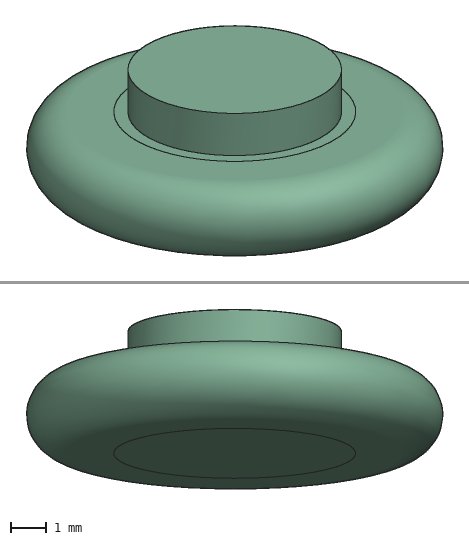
import cadquery as cq

rim_diameter = 11.7
rim_height = 2.2
bore_diameter = 6.8

collar_diameter = bore_diameter
flange_diameter = 6.7
knob_diameter = 6.0
overall_height = 3.5
flange_height = rim_height


def make_rim():
    """Ring whose outer edge is a half circle from face to face."""
    flat_radius = (rim_diameter - rim_height) / 2
    bore_radius = bore_diameter / 2
    profile = (
        cq.Workplane("XZ")
        .moveTo(bore_radius, 0)
        .lineTo(flat_radius, 0)
        .threePointArc((rim_diameter / 2, rim_height / 2), (flat_radius, rim_height))
        .lineTo(bore_radius, rim_height)
        .close()
    )
    return profile.revolve(360, (0, 0, 0), (0, 1, 0))


def make_button():
    """Flange with its collar around it and the knob standing on it, as one solid."""
    flange = cq.Workplane("XY").circle(flange_diameter / 2).extrude(flange_height)
    collar = (
        cq.Workplane("XY")
        .circle(collar_diameter / 2)
        .circle(flange_diameter / 2)
        .extrude(flange_height)
    )
    knob = cq.Workplane("XY").circle(knob_diameter / 2).extrude(overall_height)
    return flange.union(knob).union(collar, clean=False)


rim = make_rim()
button = make_button()

result = cq.Compound.makeCompound([rim.val(), button.val()])